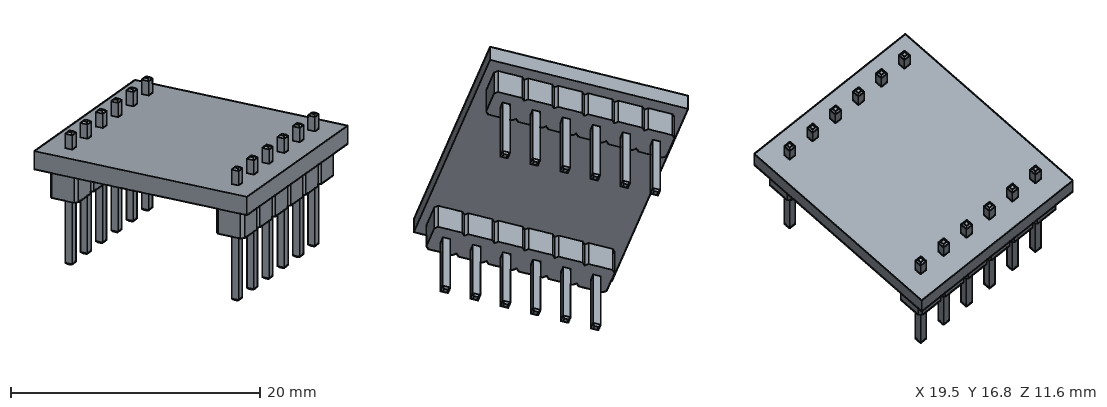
import cadquery as cq

BOARD_LENGTH = 19.5
BOARD_WIDTH = 16.75
BOARD_THICKNESS = 1.6

PINS_PER_ROW = 6
ROW_SPACING = 15.25
PITCHES_BETWEEN_ROWS = 6
PIN_PITCH = ROW_SPACING / PITCHES_BETWEEN_ROWS
PINS_OFFSET_X = 0.08
PINS_OFFSET_Y = 0.025

TOTAL_HEIGHT = 11.55
PIN_SIZE = 0.65
PIN_RISE = 1.4
PIN_TIP_CHAMFER = 0.15

BLOCK_SIZE = PIN_PITCH
BLOCK_HEIGHT = PIN_PITCH
BLOCK_CORNER_CHAMFER = 0.25


def pin_centers():
    """Centers of all pins, both rows."""
    first_y = PINS_OFFSET_Y - (PINS_PER_ROW - 1) * PIN_PITCH / 2
    return [
        (PINS_OFFSET_X + side * ROW_SPACING / 2, first_y + index * PIN_PITCH)
        for side in (-1, 1)
        for index in range(PINS_PER_ROW)
    ]


def make_board():
    return cq.Workplane("XY").rect(BOARD_LENGTH, BOARD_WIDTH).extrude(-BOARD_THICKNESS)


def make_header_block():
    """One block with chamfered upright corners, hanging from the board's underside."""
    return (
        cq.Workplane("XY", origin=(0, 0, -BOARD_THICKNESS))
        .rect(BLOCK_SIZE, BLOCK_SIZE)
        .extrude(-BLOCK_HEIGHT)
        .edges("|Z")
        .chamfer(BLOCK_CORNER_CHAMFER)
    )


def make_pin():
    """One square pin, tapered at both ends, passing through block and board."""
    return (
        cq.Workplane("XY", origin=(0, 0, PIN_RISE))
        .rect(PIN_SIZE, PIN_SIZE)
        .extrude(-TOTAL_HEIGHT)
        .faces("<Z or >Z")
        .chamfer(PIN_TIP_CHAMFER)
    )


result = make_board()
header_unit = make_header_block().union(make_pin())
for x, y in pin_centers():
    result = result.union(header_unit.translate((x, y, 0)))